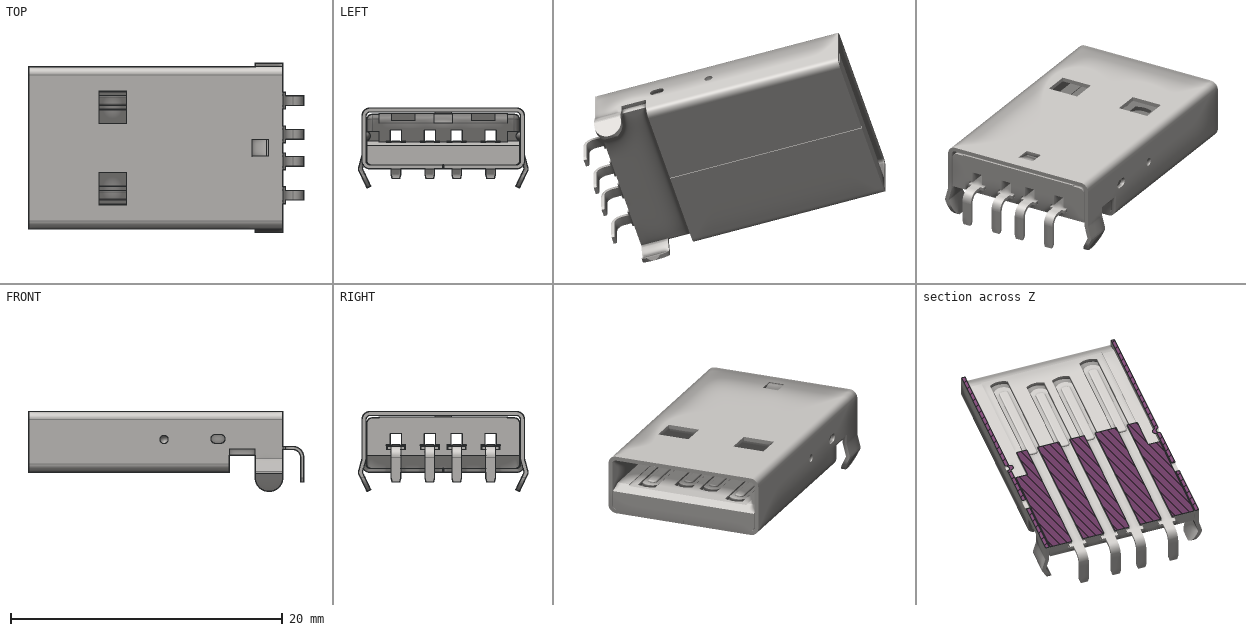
import cadquery as cq
import math


shell_length = 18.75
shell_width = 12.0
shell_height = 4.5
sheet = 0.3
corner_radius = 0.6
seam_gap = 0.05
floor_length = 14.8
notch_top = 1.73

latch_window_x = 5.2
latch_window_length = 2.0
latch_window_width = 2.42
latch_window_offset = 3.0

lock_window_x = 16.48
lock_window_size = 1.22

dimple_x = 9.99
dimple_z = 2.44
dimple_radius = 0.3
bump_radius = 0.32

slot_x = 13.97
slot_z = 2.48
slot_length = 1.05
slot_height = 0.65

leg_width = 2.05
leg_bend_z = 1.02
leg_knee_half_height = 0.08
leg_knee_y = 6.25
leg_tip_y = 5.62
leg_tip_z = -1.4

inner_width = shell_width - 2 * sheet
inner_top = shell_height - sheet
leg_x = shell_length - leg_width

outer_contact_offset = 3.5
inner_contact_offset = 1.0
inner_contact_setback = 1.02
contact_thickness = 0.25
contact_top = 1.93
contact_width = 1.25
contact_x = 1.66
contact_end = 18.96
contact_bow = 0.32
ridge_x = 2.2
ridge_end = 9.03
ridge_width = 0.73
ridge_height = 0.12
ridge_corner_radius = 0.25
ridge_edge_radius = 0.112
tail_width = 0.73
tail_x = 20.3
tail_bottom = -0.71
tail_bend_radius = 0.81
tail_taper_length = 0.3
tail_taper_width = 0.08
contact_bottom = contact_top - contact_thickness
contact_places = [
    (-outer_contact_offset, 0),
    (-inner_contact_offset, inner_contact_setback),
    (inner_contact_offset, inner_contact_setback),
    (outer_contact_offset, 0),
]

insulator_width = 11.29
insulator_top = 4.1
insulator_bottom_radius = 0.3
rear_bottom = 1.25
tongue_top = 2.05
lead_in_length = 0.95
lead_in_height = 0.32
wall_x = 8.65
wall_center_width = 9.45
wall_top_radius = 0.71
shoulder_top = 4.04
shoulder_radius = 0.35
shoulder_side_radius = 0.43
tongue_recess_depth = 0.06
dimple_channel_top = 2.76
dimple_channel_length = 2.44
slot_clearance = 0.071
contact_slot_x = 1.1
contact_slot_bow = 0.2
wall_window_width = 0.81
wall_window_height = 0.81
latch_pocket_offset = 2.95
latch_pocket_width = 1.75
latch_pocket_floor = 3.57
latch_pocket_length = 1.02
lock_groove_width = 1.4
lock_groove_floor = 4.04
lock_nub_top = 4.45
lock_nub_crest = 0.16


def box(x0, x1, width, z0, z1, y=0.0):
    """A block from x0 to x1 and z0 to z1, centred on y."""
    return (
        cq.Workplane("XY")
        .box(x1 - x0, width, z1 - z0, centered=(False, True, False))
        .translate((x0, y, z0))
    )


def bowed_strip(x0, x1, bow, width, z0, z1, y=0.0):
    """A block centred on y whose front end bows out to x0 in a shallow arc."""
    return (
        cq.Workplane("XY")
        .moveTo(x0 + bow, -width / 2)
        .threePointArc((x0, 0), (x0 + bow, width / 2))
        .lineTo(x1, width / 2)
        .lineTo(x1, -width / 2)
        .close()
        .extrude(z1 - z0)
        .translate((0, y, z0))
    )


def leg(side):
    """A mounting leg that splays outwards, turns in at its knee and ends in a half circle."""
    run_y = leg_knee_y - leg_tip_y
    run_z = -leg_knee_half_height - leg_tip_z
    run = math.hypot(run_y, run_z)
    tip_in_y = leg_tip_y - sheet * run_z / run
    tip_in_z = leg_tip_z + sheet * run_y / run
    knee_in_y = leg_knee_y - sheet
    lower_angle = math.atan2(run_y, run_z)
    upper_angle = math.atan2(leg_knee_y - shell_width / 2, leg_bend_z - leg_knee_half_height)
    knee_low_z = -leg_knee_half_height + sheet * math.tan(lower_angle / 2)
    knee_high_z = leg_knee_half_height - sheet * math.tan(upper_angle / 2)
    profile = [
        (shell_width / 2, leg_bend_z),
        (leg_knee_y, leg_knee_half_height),
        (leg_knee_y, -leg_knee_half_height),
        (leg_tip_y, leg_tip_z),
        (tip_in_y, tip_in_z),
        (knee_in_y, knee_low_z),
        (knee_in_y, knee_high_z),
        (inner_width / 2, leg_bend_z),
    ]
    strip = (
        cq.Workplane("YZ")
        .polyline([(side * y, z) for y, z in profile])
        .close()
        .extrude(leg_width)
        .translate((leg_x, 0, 0))
    )
    radius = leg_width / 2
    round_z = leg_tip_z + radius
    outline = (
        cq.Workplane("XZ")
        .moveTo(leg_x, leg_bend_z)
        .lineTo(leg_x, round_z)
        .threePointArc((leg_x + radius, leg_tip_z), (shell_length, round_z))
        .lineTo(shell_length, leg_bend_z)
        .close()
        .extrude(shell_width, both=True)
    )
    return strip.intersect(outline)


def make_shell():
    tube = box(0, shell_length, shell_width, 0, shell_height).edges("|X").fillet(corner_radius)
    bore = box(0, shell_length, inner_width, sheet, inner_top).edges("|X").fillet(corner_radius - sheet)
    shell = tube.cut(bore)
    shell = shell.cut(box(0, shell_length, seam_gap, 0, sheet))

    shell = shell.cut(box(floor_length, leg_x, shell_width, 0, notch_top))
    shell = shell.cut(box(leg_x, shell_length, shell_width, 0, leg_bend_z))

    for side in (-1, 1):
        latch_end = latch_window_x + latch_window_length
        shell = shell.cut(box(
            latch_window_x, latch_end, latch_window_width, inner_top, shell_height, side * latch_window_offset
        ))
    lock_window_end = lock_window_x + lock_window_size
    shell = shell.cut(box(lock_window_x, lock_window_end, lock_window_size, inner_top, shell_height))

    slots = (
        cq.Workplane("XZ")
        .center(slot_x, slot_z)
        .slot2D(slot_length, slot_height)
        .extrude(shell_width, both=True)
    )
    shell = shell.cut(slots)

    for side in (-1, 1):
        shell = shell.union(leg(side))
        bump = cq.Workplane("XZ").sphere(bump_radius)
        dimple = cq.Workplane("XZ").sphere(dimple_radius)
        shell = shell.union(bump.translate((dimple_x, side * inner_width / 2, dimple_z)))
        shell = shell.cut(dimple.translate((dimple_x, side * shell_width / 2, dimple_z)))
    return shell


def make_tongue():
    """The full-length base: tongue in front, floor of the wall behind."""
    tongue = (
        box(0, shell_length, insulator_width, sheet, tongue_top)
        .edges("|X and <Z")
        .fillet(insulator_bottom_radius)
    )
    lead_in = (
        cq.Workplane("XZ")
        .polyline([(0, tongue_top), (0, tongue_top - lead_in_height), (lead_in_length, tongue_top)])
        .close()
        .extrude(insulator_width, both=True)
    )
    return (
        tongue.cut(lead_in)
        .cut(box(floor_length, shell_length, shell_width, 0, rear_bottom))
        .cut(box(0, wall_x, wall_center_width, tongue_top - tongue_recess_depth, tongue_top))
    )


def make_wall():
    """The wall behind the tongue, with shoulders, latch pockets and the locking nub."""
    shoulders = (
        box(wall_x, shell_length, insulator_width, tongue_top, shoulder_top)
        .edges("(|X and >Z) or (|Z and <X)")
        .fillet(shoulder_side_radius)
        .edges("|Y and <X and >Z")
        .fillet(shoulder_radius)
    )
    center = (
        box(wall_x, shell_length, wall_center_width, tongue_top, insulator_top)
        .edges("|Y and <X and >Z")
        .fillet(wall_top_radius)
    )
    shoulders = shoulders.cut(box(wall_x, shell_length, wall_center_width, tongue_top, insulator_top))
    wall = shoulders.union(center)

    side_width = (insulator_width - wall_center_width) / 2
    side_y = (insulator_width + wall_center_width) / 4
    for side in (-1, 1):
        wall = wall.cut(box(
            wall_x, wall_x + dimple_channel_length, side_width, tongue_top, dimple_channel_top, side * side_y
        ))
        wall = wall.cut(box(
            wall_x, wall_x + latch_pocket_length, latch_pocket_width,
            latch_pocket_floor, insulator_top, side * latch_pocket_offset,
        ))

    ramp_start = insulator_top - wall_top_radius
    ramp_end = wall_x + lock_groove_floor - ramp_start
    groove = (
        cq.Workplane("XZ")
        .polyline([
            (wall_x, ramp_start),
            (ramp_end, lock_groove_floor),
            (lock_window_x, lock_groove_floor),
            (lock_window_x, insulator_top),
            (wall_x, insulator_top),
        ])
        .close()
        .extrude(lock_groove_width / 2, both=True)
    )

    nub_end = lock_window_x + lock_window_size
    nub = (
        cq.Workplane("XZ")
        .polyline([
            (lock_window_x, shoulder_top),
            (lock_window_x, insulator_top),
            (nub_end - lock_nub_crest, lock_nub_top),
            (nub_end, lock_nub_top),
            (nub_end, shoulder_top),
        ])
        .close()
        .extrude(lock_window_size / 2, both=True)
    )
    return wall.cut(groove).union(nub)


def make_insulator():
    insulator = make_tongue().union(make_wall())
    slot_width = contact_width + 2 * slot_clearance
    window_top = tongue_top + wall_window_height
    for y, setback in contact_places:
        slot = bowed_strip(
            contact_slot_x + setback, shell_length, contact_slot_bow, slot_width, contact_bottom, tongue_top, y
        )
        insulator = insulator.cut(slot)
        insulator = insulator.cut(box(wall_x, shell_length, wall_window_width, tongue_top, window_top, y))
    return insulator


def make_contact(y, setback):
    """A flat contact with a raised wiping ridge and a narrower tail bent down."""
    plate = bowed_strip(
        contact_x + setback, contact_end, contact_bow, contact_width, contact_bottom, contact_top
    )
    ridge = (
        box(ridge_x + setback, ridge_end, ridge_width, contact_top, contact_top + ridge_height)
        .edges("|Z")
        .fillet(ridge_corner_radius)
        .faces(">Z")
        .edges()
        .fillet(ridge_edge_radius)
    )
    tail = (
        cq.Workplane("XZ")
        .moveTo(contact_end, contact_top)
        .lineTo(tail_x - tail_bend_radius, contact_top)
        .radiusArc((tail_x, contact_top - tail_bend_radius), tail_bend_radius)
        .lineTo(tail_x, tail_bottom)
        .lineTo(tail_x - contact_thickness, tail_bottom)
        .lineTo(tail_x - contact_thickness, contact_top - tail_bend_radius)
        .radiusArc((tail_x - tail_bend_radius, contact_bottom), contact_thickness - tail_bend_radius)
        .lineTo(contact_end, contact_bottom)
        .close()
        .extrude(tail_width / 2, both=True)
        .edges("|X and <Z")
        .chamfer(tail_taper_length, tail_taper_width)
    )
    return plate.union(ridge).union(tail).translate((0, y, 0))


shell = make_shell()
insulator = make_insulator()
contacts = [make_contact(y, setback) for y, setback in contact_places]

result = cq.Compound.makeCompound([
    shell.val(),
    insulator.val(),
    *[contact.val() for contact in contacts],
])